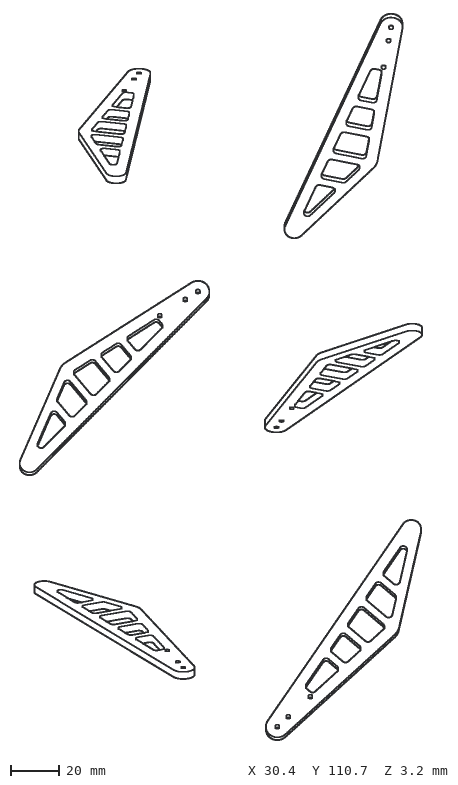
import cadquery as cq
import math

thickness = 3.2
length = 110.7

upper_radius = 4.8
knee_radius = 6.3
lower_radius = 4.1
upper_center = (0.0, 0.0)
knee_center = (-2.2, -63.0)
lower_center = (17.8, upper_radius + lower_radius - length)

left_rim = 5.0
diagonal_rim = 3.9
right_rim = 4.7

first_window_top = -20.6
rib_width = 3.2
upper_window_heights = (15.7, 9.7, 10.5)
diagonal_window_height = 9.6
window_corner_radius = 1.5

hole_diameter = 1.8
hole_distances = (0.0, 6.3, 19.0)


def tangent_line(start, start_radius, end, end_radius):
    """Tangent points on the left of two circles, walking from start to end, and the outward normal."""
    dx = end[0] - start[0]
    dy = end[1] - start[1]
    taper = math.asin((start_radius - end_radius) / math.hypot(dx, dy))
    angle = math.atan2(dy, dx) + math.pi / 2 - taper
    normal = (math.cos(angle), math.sin(angle))
    return on_circle(start, start_radius, normal), on_circle(end, end_radius, normal), normal


def on_circle(center, radius, direction):
    return (center[0] + radius * direction[0], center[1] + radius * direction[1])


def arc_middle(center, radius, normal_a, normal_b):
    """Point halfway along the arc between two outward normals less than 180 degrees apart."""
    x = normal_a[0] + normal_b[0]
    y = normal_a[1] + normal_b[1]
    size = math.hypot(x, y)
    return on_circle(center, radius, (x / size, y / size))


def inset_line(edge, rim):
    """A point and normal of the line lying one rim width inside an outline edge."""
    point, _, normal = edge
    return on_circle(point, -rim, normal), normal


def point_at_height(line, y):
    point, normal = line
    return (point[0] - (y - point[1]) * normal[1] / normal[0], y)


def crossing(line_a, line_b):
    (ax, ay), (nax, nay) = line_a
    (bx, by), (nbx, nby) = line_b
    a = nax * ax + nay * ay
    b = nbx * bx + nby * by
    det = nax * nby - nay * nbx
    return ((a * nby - b * nay) / det, (nax * b - nbx * a) / det)


right_edge = tangent_line(upper_center, upper_radius, lower_center, lower_radius)
diagonal_edge = tangent_line(lower_center, lower_radius, knee_center, knee_radius)
left_edge = tangent_line(knee_center, knee_radius, upper_center, upper_radius)

plate = (
    cq.Workplane("XY")
    .moveTo(*right_edge[0])
    .lineTo(*right_edge[1])
    .threePointArc(arc_middle(lower_center, lower_radius, right_edge[2], diagonal_edge[2]), diagonal_edge[0])
    .lineTo(*diagonal_edge[1])
    .threePointArc(arc_middle(knee_center, knee_radius, diagonal_edge[2], left_edge[2]), left_edge[0])
    .lineTo(*left_edge[1])
    .threePointArc(arc_middle(upper_center, upper_radius, left_edge[2], right_edge[2]), right_edge[0])
    .close()
    .extrude(thickness)
)

left_line = inset_line(left_edge, left_rim)
diagonal_line = inset_line(diagonal_edge, diagonal_rim)
right_line = inset_line(right_edge, right_rim)


def window(corners):
    return cq.Workplane("XY").polyline(corners).close().extrude(thickness).edges("|Z").fillet(window_corner_radius)


def four_sided_window(side_line, top, bottom):
    return window([
        point_at_height(side_line, top),
        point_at_height(right_line, top),
        point_at_height(right_line, bottom),
        point_at_height(side_line, bottom),
    ])


top = first_window_top
window_sides = [(left_line, height) for height in upper_window_heights]
window_sides.append((diagonal_line, diagonal_window_height))
for side_line, height in window_sides:
    plate = plate.cut(four_sided_window(side_line, top, top - height))
    top -= height + rib_width

plate = plate.cut(window([
    point_at_height(diagonal_line, top),
    point_at_height(right_line, top),
    crossing(diagonal_line, right_line),
]))

row_direction = (-left_edge[2][1], left_edge[2][0])
hole_centers = [on_circle(upper_center, distance, row_direction) for distance in hole_distances]
holes = cq.Workplane("XY").pushPoints(hole_centers).circle(hole_diameter / 2).extrude(thickness)

result = plate.cut(holes)